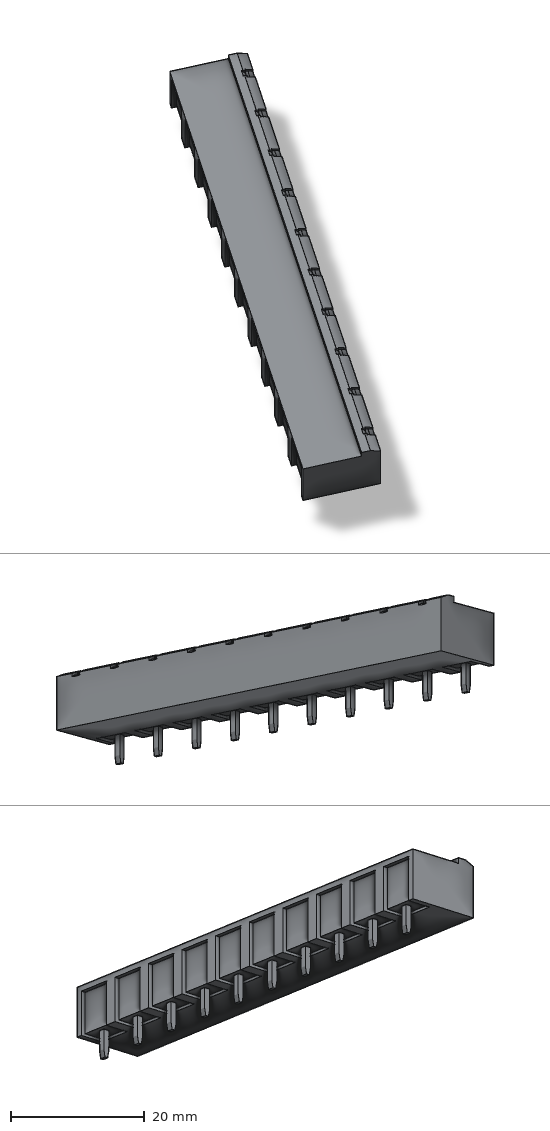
import cadquery as cq
import math

length = 76.15
depth = 12.0
total_height = 12.9
pole_count = 10
pitch = length / pole_count

pin_drop = 3.95
pin_width = 1.0
pin_setback = 2.05
tip_length = 1.15
tip_thickness = 0.5

housing_height = total_height - pin_drop
ridge_step = 0.9
deck_height = housing_height - ridge_step
ridge_depth = 3.0
bevel_depth = 1.6
bevel_drop = 0.7

window_width = 5.6
window_depth = 0.75
window_top_gap = 1.8
standoff = 0.45
recess_depth = 2 * pin_setback

groove_width = 1.45
groove_drop = 0.8
groove_length = 1.2
groove_floor_radius = 3.05
chute_length = 0.75
chute_drop = 0.4
ramp_width = 1.0
ramp_length = 0.6


def block(center_x, y_start, z_start, size_x, size_y, size_z):
    """Box centred on center_x, growing along +Y and +Z."""
    corner = (center_x - size_x / 2, y_start, z_start)
    return cq.Workplane("XY").box(size_x, size_y, size_z, centered=False).translate(corner)


def make_housing():
    """Bar with a raised ridge along its rear edge, bevelled towards the back."""
    profile = [
        (0, 0),
        (depth, 0),
        (depth, housing_height - bevel_drop),
        (depth - bevel_depth, housing_height),
        (depth - ridge_depth, housing_height),
        (depth - ridge_depth, deck_height),
        (0, deck_height),
    ]
    return cq.Workplane("YZ").polyline(profile).close().extrude(length)


def make_window(center_x):
    """Shallow pocket in the front face, open at the underside."""
    height = housing_height - window_top_gap
    return block(center_x, 0, 0, window_width, window_depth, height)


def make_recess(center_x):
    """Clearance in the underside around one pin."""
    return block(center_x, 0, 0, window_width, recess_depth, standoff)


def groove_section(center_x, y, floor_height):
    """Upright groove outline at one Y: straight sides over a shallow arc floor."""
    half_width = groove_width / 2
    sagitta = groove_floor_radius - math.sqrt(groove_floor_radius**2 - half_width**2)
    side_height = floor_height + sagitta
    return (
        cq.Workplane("XZ", origin=(center_x, y, 0))
        .moveTo(-half_width, housing_height)
        .lineTo(-half_width, side_height)
        .threePointArc((0, floor_height), (half_width, side_height))
        .lineTo(half_width, housing_height)
        .close()
    )


def make_notch(center_x):
    """Groove that falls away in a chute at the rear and ends in a ramp up to the ridge top."""
    floor_height = housing_height - groove_drop
    groove_end = depth - groove_length
    groove = groove_section(center_x, depth, floor_height).extrude(groove_length)
    chute_top = groove_section(center_x, depth - chute_length, floor_height)
    chute_bottom = groove_section(center_x, depth, floor_height - chute_drop)
    chute = cq.Solid.makeLoft([chute_top.val(), chute_bottom.val()], True)
    ramp = (
        cq.Workplane("YZ", origin=(center_x - ramp_width / 2, 0, 0))
        .moveTo(groove_end, floor_height)
        .lineTo(groove_end, housing_height)
        .lineTo(groove_end - ramp_length, housing_height)
        .close()
        .extrude(ramp_width)
    )
    return groove.union(cq.Workplane(chute)).union(ramp)


def make_pin(center_x):
    """Square pin whose tip tapers in thickness only."""
    half_width = pin_width / 2
    half_tip = tip_thickness / 2
    shoulder = tip_length - pin_drop
    profile = [
        (pin_setback - half_width, standoff),
        (pin_setback - half_width, shoulder),
        (pin_setback - half_tip, -pin_drop),
        (pin_setback + half_tip, -pin_drop),
        (pin_setback + half_width, shoulder),
        (pin_setback + half_width, standoff),
    ]
    plane = cq.Workplane("YZ", origin=(center_x - half_width, 0, 0))
    return plane.polyline(profile).close().extrude(pin_width)


result = make_housing()
for pole in range(pole_count):
    pole_x = (pole + 0.5) * pitch
    result = result.cut(make_window(pole_x)).cut(make_recess(pole_x)).cut(make_notch(pole_x))
    result = result.union(make_pin(pole_x))